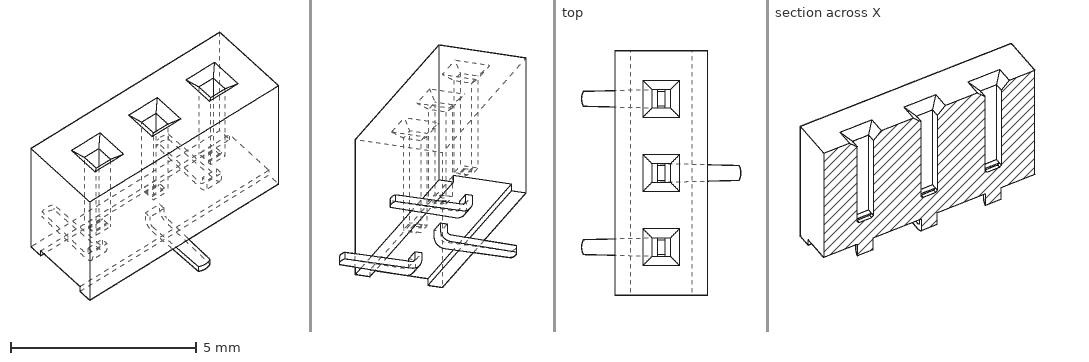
import cadquery as cq
import math

body_length = 6.6
body_width = 2.5
body_height = 4.0
standoff = 0.305
body_top = standoff + body_height

channel_width = 1.66
channel_depth = 0.2
channel_top = standoff + channel_depth

pitch = 2.0
socket_count = 3
mouth_size = 0.995
bore_size = 0.5
funnel_depth = (mouth_size - bore_size) / 2
socket_depth = 2.97
bore_floor = body_top - socket_depth
notch_depth = 0.05

strip_thickness = 0.2
root_width = 0.495
tip_width = 0.41
tip_bulge = 0.05
inner_bend_radius = 0.105
outer_bend_radius = inner_bend_radius + strip_thickness
tail_reach = 4.3 / 2
bend_end = strip_thickness / 2 + inner_bend_radius
tail_embed = 0.065


def make_housing():
    housing = cq.Workplane("XY").box(
        body_width, body_length, body_height, centered=(True, True, False)
    ).translate((0, 0, standoff))
    channel = cq.Workplane("XY").box(
        channel_width, body_length, channel_depth, centered=(True, True, False)
    ).translate((0, 0, standoff))
    return housing.cut(channel)


def make_socket():
    """Cutting shape of one socket: funnel, square bore and floor notch."""
    funnel = (
        cq.Workplane("XY", origin=(0, 0, body_top))
        .rect(mouth_size, mouth_size)
        .workplane(offset=-funnel_depth)
        .rect(bore_size, bore_size)
        .loft(ruled=True)
    )
    bore = cq.Workplane("XY").box(
        bore_size, bore_size, body_top - funnel_depth - bore_floor, centered=(True, True, False)
    ).translate((0, 0, bore_floor))
    notch = (
        cq.Workplane("XY", origin=(0, 0, bore_floor))
        .rect(strip_thickness, bore_size)
        .workplane(offset=-notch_depth)
        .rect(strip_thickness, bore_size - 2 * notch_depth)
        .loft(ruled=True)
    )
    return funnel.union(bore).union(notch)


def make_tail():
    """One contact tail: an upright bent over toward -X, tapering to a rounded end."""
    half_strip = strip_thickness / 2
    upright_top = channel_top + tail_embed
    diagonal = math.sqrt(0.5)

    bend_x = -bend_end
    bend_z = outer_bend_radius
    outer_mid = (bend_x + outer_bend_radius * diagonal, bend_z - outer_bend_radius * diagonal)
    inner_mid = (bend_x + inner_bend_radius * diagonal, bend_z - inner_bend_radius * diagonal)
    side_profile = (
        cq.Workplane("XZ")
        .moveTo(-tail_reach, 0)
        .lineTo(bend_x, 0)
        .threePointArc(outer_mid, (half_strip, bend_z))
        .lineTo(half_strip, upright_top)
        .lineTo(-half_strip, upright_top)
        .lineTo(-half_strip, bend_z)
        .threePointArc(inner_mid, (bend_x, strip_thickness))
        .lineTo(-tail_reach, strip_thickness)
        .close()
        .extrude(root_width / 2, both=True)
    )

    tip_corner = -tail_reach + tip_bulge
    plan_outline = (
        cq.Workplane("XY")
        .moveTo(half_strip, root_width / 2)
        .lineTo(bend_x, root_width / 2)
        .lineTo(tip_corner, tip_width / 2)
        .threePointArc((-tail_reach, 0), (tip_corner, -tip_width / 2))
        .lineTo(bend_x, -root_width / 2)
        .lineTo(half_strip, -root_width / 2)
        .close()
        .extrude(upright_top)
    )
    return side_profile.intersect(plan_outline)


result = make_housing()
socket = make_socket()
tail = make_tail()

for index in range(socket_count):
    y = (index - (socket_count - 1) / 2) * pitch
    turn = 180 * (index % 2)
    placed_tail = tail.rotate((0, 0, 0), (0, 0, 1), turn).translate((0, y, 0))
    result = result.cut(socket.translate((0, y, 0))).union(placed_tail)